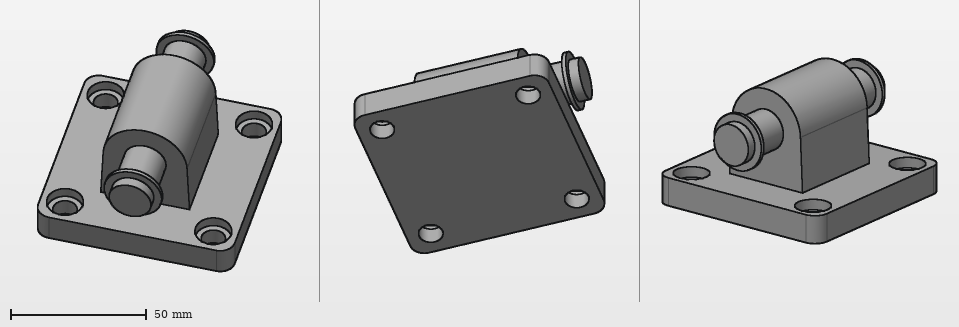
import cadquery as cq
import math

plate_side = 75.0
plate_thickness = 11.0
corner_radius = 5.5

hole_spacing = 56.6
hole_diameter = 9.0
counterbore_diameter = 13.5
counterbore_depth = 4.1

total_height = 48.0
block_length = 40.0
block_base_width = 33.9
block_top_radius = 16.0
axis_height = total_height - block_top_radius

pin_length = 82.0
pin_diameter = 16.0
ring_diameter = 22.0
ring_thickness = 1.55
ring_end_gap = 3.9


def make_plate():
    plate = cq.Workplane("XY").box(
        plate_side, plate_side, plate_thickness, centered=(True, True, False)
    )
    return (
        plate.edges("|Z")
        .fillet(corner_radius)
        .faces(">Z")
        .workplane()
        .rect(hole_spacing, hole_spacing, forConstruction=True)
        .vertices()
        .cboreHole(hole_diameter, counterbore_diameter, counterbore_depth)
    )


def cylinder_along_y(diameter, length, center_y):
    return (
        cq.Workplane("XZ", origin=(0, center_y + length / 2, axis_height))
        .circle(diameter / 2)
        .extrude(length)
    )


def make_block():
    half_width = block_base_width / 2
    axis_rise = axis_height - plate_thickness

    base_distance = math.hypot(half_width, axis_rise)
    taper = math.acos(block_top_radius / base_distance) - math.atan2(axis_rise, half_width)
    tangent_x = block_top_radius * math.cos(taper)
    tangent_z = axis_height + block_top_radius * math.sin(taper)

    return (
        cq.Workplane("XZ")
        .moveTo(-half_width, plate_thickness)
        .lineTo(half_width, plate_thickness)
        .lineTo(tangent_x, tangent_z)
        .threePointArc((0, total_height), (-tangent_x, tangent_z))
        .close()
        .extrude(block_length / 2, both=True)
    )


result = make_plate().union(make_block())
result = result.union(cylinder_along_y(pin_diameter, pin_length, 0))

ring_center = pin_length / 2 - ring_end_gap - ring_thickness / 2
for side in (-1, 1):
    result = result.union(cylinder_along_y(ring_diameter, ring_thickness, side * ring_center))